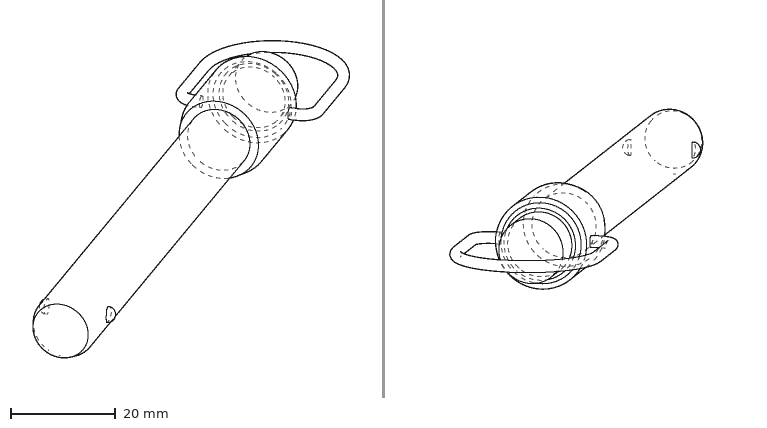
import cadquery as cq

total_length = 142.5

shaft_radius = 6.3
tip_radius = 5.5
tip_length = 2.3

collar_radius = 8.9
collar_bottom = 95.5
collar_taper_length = 3.8
collar_bottom_radius = 8.0
collar_top = 115.5
lip_height = 1.1
lip_base_radius = 7.8
lip_top_radius = 7.0
button_end = 124.4

ball_radius = 1.5
ball_reach = 7.5
ball_height = 10.3

wire_radius = 1.1
ring_width = 29.5
bend_radius = 3.1
ring_leg_height = 111.5
leg_depth = 2.1


def make_body():
    """Revolve the shaft, collar and button about the Y axis."""
    profile = [
        (0, 0),
        (tip_radius, 0),
        (shaft_radius, tip_length),
        (shaft_radius, collar_bottom),
        (collar_bottom_radius, collar_bottom),
        (collar_radius, collar_bottom + collar_taper_length),
        (collar_radius, collar_top),
        (lip_base_radius, collar_top),
        (lip_top_radius, collar_top + lip_height),
        (shaft_radius, collar_top + lip_height),
        (shaft_radius, button_end),
        (0, button_end),
    ]
    return cq.Workplane("XY").polyline(profile).close().revolve(360, (0, 0, 0), (0, 1, 0))


def make_ball(side):
    """Make the locking ball on the +X (side = 1) or -X (side = -1) flank."""
    ball_x = side * (ball_reach - ball_radius)
    return cq.Workplane("XY").sphere(ball_radius).translate((ball_x, ball_height, 0))


def make_ring():
    """Sweep the wire from one collar flank, around the loop, to the other flank."""
    arch_radius = ring_width / 2 - wire_radius
    arch_center = total_length - ring_width / 2
    leg_start = collar_radius - leg_depth
    bend_start = arch_radius - bend_radius
    bend_top = ring_leg_height + bend_radius
    path = (
        cq.Workplane("XY")
        .moveTo(-leg_start, ring_leg_height)
        .lineTo(-bend_start, ring_leg_height)
        .radiusArc((-arch_radius, bend_top), bend_radius)
        .lineTo(-arch_radius, arch_center)
        .threePointArc((0, arch_center + arch_radius), (arch_radius, arch_center))
        .lineTo(arch_radius, bend_top)
        .radiusArc((bend_start, ring_leg_height), bend_radius)
        .lineTo(leg_start, ring_leg_height)
    )
    wire_end = cq.Workplane("YZ", origin=(-leg_start, ring_leg_height, 0))
    return wire_end.circle(wire_radius).sweep(path)


result = make_body().union(make_ring())
for side in (-1, 1):
    result = result.union(make_ball(side))